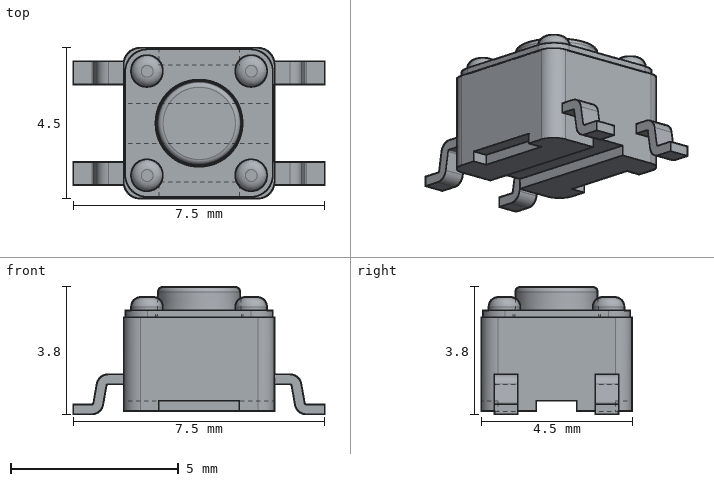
import cadquery as cq
import math


lead_span = 7.5
body_side = 4.5
total_height = 3.8

body_bottom = 0.1
body_top = 2.9
body_corner_radius = 0.5

groove_height = 0.31
channel_width = 1.2
notch_width = 2.4
notch_depth = 0.5

cover_side = 4.395
cover_thickness = 0.2
cover_corner_radius = 0.65
cover_top = body_top + cover_thickness

button_base_diameter = 2.51
button_top_diameter = 2.445
button_hole_diameter = 2.6
button_edge_radius = 0.15

rivet_diameter = 0.95
rivet_flat_diameter = 0.35
rivet_rim_height = 0.1
rivet_round = (rivet_diameter - rivet_flat_diameter) / 2
rivet_height = rivet_rim_height + rivet_round
rivet_offset = 1.55

lead_width = 0.7
lead_thickness = 0.3
lead_top = 1.2
lead_offset = 1.5
foot_length = 0.55
arm_embedment = 0.075
bend_inner_radius = 0.05
bend_outer_radius = bend_inner_radius + lead_thickness
leg_angle = math.radians(80)


def corners(offset):
    return [(x, y) for x in (-offset, offset) for y in (-offset, offset)]


def rounded_plate(side, thickness, corner_radius, bottom):
    plate = cq.Workplane("XY").workplane(offset=bottom).rect(side, side).extrude(thickness)
    return plate.edges("|Z").fillet(corner_radius)


def make_body():
    body = rounded_plate(body_side, body_top - body_bottom, body_corner_radius, body_bottom)
    underside = cq.Workplane("XY").workplane(offset=body_bottom)
    body = body.cut(underside.rect(body_side, channel_width).extrude(groove_height))
    notch_centre = (body_side - notch_depth) / 2
    notches = (
        underside.pushPoints([(0, -notch_centre), (0, notch_centre)])
        .rect(notch_width, notch_depth)
        .extrude(groove_height)
    )
    return body.cut(notches)


def make_cover():
    cover = rounded_plate(cover_side, cover_thickness, cover_corner_radius, body_top)
    return cover.faces(">Z").workplane().hole(button_hole_diameter)


def make_button():
    cone = cq.Solid.makeCone(
        button_base_diameter / 2,
        button_top_diameter / 2,
        total_height - body_top,
        pnt=cq.Vector(0, 0, body_top),
    )
    button = cq.Workplane(obj=cone)
    return button.faces(">Z").edges().fillet(button_edge_radius)


def make_rivets():
    rivets = (
        cq.Workplane("XY")
        .workplane(offset=cover_top)
        .pushPoints(corners(rivet_offset))
        .circle(rivet_diameter / 2)
        .extrude(rivet_height)
    )
    return rivets.faces(">Z").edges().fillet(rivet_round)


def around(centre, radius, angle):
    return (centre[0] + radius * math.cos(angle), centre[1] + radius * math.sin(angle))


def make_left_lead():
    tip_x = -lead_span / 2
    root_x = -body_side / 2 + arm_embedment
    lower_z = bend_outer_radius
    upper_z = lead_top - bend_outer_radius
    radius_sum = bend_inner_radius + bend_outer_radius
    bend_spacing = (radius_sum + (upper_z - lower_z) * math.cos(leg_angle)) / math.sin(leg_angle)
    lower = (tip_x + foot_length, lower_z)
    upper = (lower[0] + bend_spacing, upper_z)

    down = -math.pi / 2
    lower_end = leg_angle - math.pi / 2
    lower_mid = (down + lower_end) / 2
    up = math.pi / 2
    upper_end = leg_angle + math.pi / 2
    upper_mid = (up + upper_end) / 2

    profile = (
        cq.Workplane("XZ")
        .moveTo(tip_x, 0)
        .lineTo(lower[0], 0)
        .threePointArc(
            around(lower, bend_outer_radius, lower_mid),
            around(lower, bend_outer_radius, lower_end),
        )
        .lineTo(*around(upper, bend_inner_radius, upper_end))
        .threePointArc(
            around(upper, bend_inner_radius, upper_mid),
            around(upper, bend_inner_radius, up),
        )
        .lineTo(root_x, lead_top - lead_thickness)
        .lineTo(root_x, lead_top)
        .lineTo(upper[0], lead_top)
        .threePointArc(
            around(upper, bend_outer_radius, upper_mid),
            around(upper, bend_outer_radius, upper_end),
        )
        .lineTo(*around(lower, bend_inner_radius, lower_end))
        .threePointArc(
            around(lower, bend_inner_radius, lower_mid),
            around(lower, bend_inner_radius, down),
        )
        .lineTo(tip_x, lead_thickness)
        .close()
    )
    return profile.extrude(lead_width / 2, both=True)


result = make_body().union(make_cover()).union(make_button()).union(make_rivets())

left_lead = make_left_lead()
right_lead = left_lead.mirror("YZ")
for lead in (left_lead, right_lead):
    for y in (-lead_offset, lead_offset):
        result = result.union(lead.translate((0, y, 0)))